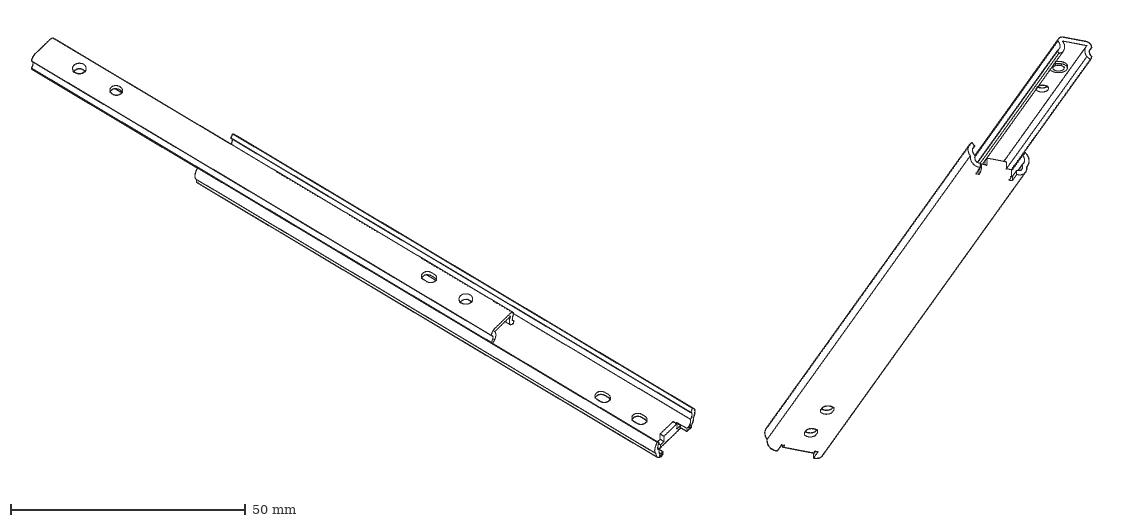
import cadquery as cq
import math

total_length = 171.8
rail_length = 124.7
sheet = 1.0
nub_length = 0.3
outer_end = total_length - nub_length
outer_start = outer_end - rail_length

race_z = 4.0
race_radius = 1.46
race_half_height = 1.12
back_radius = race_radius + sheet
race_reach = math.sqrt(race_radius**2 - race_half_height**2)

outer_half_width = 14.0 / 2
outer_race_y = outer_half_width - back_radius
floor_half_width = 8.8 / 2
bend_inner_radius = 1.0
bend_outer_radius = bend_inner_radius + sheet

inner_top = 6.4
inner_half_width = 7.7 / 2
inner_race_y = inner_half_width + race_reach
corner_radius = inner_top - race_z - race_half_height
web_half_width = inner_half_width - corner_radius
foot_bottom = 2.0
foot_slant = 0.5

relief_half_width = 4.1
nub_inner_y = 4.8
nub_outer_y = 5.3
nub_bottom = 0.5
nub_top = 1.0

stop_inset = 1.2
stop_outer_face = outer_end - stop_inset
stop_top = 3.5
stop_bend_radius = 0.5
stop_half_width = 2.2
stop_base_half_width = 3.5
stop_base_top = 1.7
stop_inner_face = stop_outer_face - sheet
stop_bend_start = stop_inner_face - stop_bend_radius

hole_offset_near = 10.0
hole_offset_far = 20.0
hole_width = 2.5
outer_slot_length = 3.5
short_slot_length = 2.7
long_slot_length = 3.5
cone_top_diameter = 3.0
cone_hole_diameter = 2.4
collar_diameter = 3.8
collar_drop = 0.5


def race_point(center_y, radius, angle):
    """Point on a race arc; the angle is in degrees from the +Y direction."""
    turn = math.radians(angle)
    return (center_y + radius * math.cos(turn), race_z + radius * math.sin(turn))


def extrude_both_halves(half_outline, start):
    """Extrude a half section (drawn at +Y) along the rail and join its mirror image."""
    half = half_outline.close().extrude(rail_length).translate((start, 0, 0))
    return half.union(half.mirror("XZ"))


def slot_cutter(x, length):
    return cq.Workplane("XY").center(x, 0).slot2D(length, hole_width).extrude(inner_top)


def outer_section():
    lip_angle = math.degrees(math.asin(race_half_height / race_radius))
    wall_y = floor_half_width + bend_outer_radius
    wall_top = race_z - math.sqrt(back_radius**2 - (wall_y - outer_race_y) ** 2)
    diagonal = math.sqrt(0.5)
    bend_in = bend_inner_radius * diagonal
    bend_out = bend_outer_radius * diagonal
    return (
        cq.Workplane("YZ")
        .moveTo(0, 0)
        .lineTo(floor_half_width, 0)
        .threePointArc(
            (floor_half_width + bend_out, bend_outer_radius - bend_out),
            (wall_y, bend_outer_radius),
        )
        .lineTo(wall_y, wall_top)
        .threePointArc((outer_half_width, race_z), race_point(outer_race_y, back_radius, lip_angle))
        .lineTo(*race_point(outer_race_y, race_radius, lip_angle))
        .threePointArc(
            (outer_race_y + race_radius, race_z),
            race_point(outer_race_y, race_radius, -lip_angle),
        )
        .lineTo(floor_half_width + bend_inner_radius, bend_outer_radius)
        .threePointArc(
            (floor_half_width + bend_in, bend_outer_radius - bend_in),
            (floor_half_width, sheet),
        )
        .lineTo(0, sheet)
    )


def inner_section():
    race_upper = race_z + race_half_height
    race_lower = race_z - race_half_height
    web_bottom = inner_top - sheet
    foot_inner_z = foot_bottom + foot_slant
    foot_tip_y = web_half_width + math.sqrt(corner_radius**2 - (race_lower - foot_bottom) ** 2)

    def back_y(z):
        return inner_race_y - math.sqrt(back_radius**2 - (z - race_z) ** 2)

    return (
        cq.Workplane("YZ")
        .moveTo(0, inner_top)
        .lineTo(web_half_width, inner_top)
        .radiusArc((inner_half_width, race_upper), corner_radius)
        .threePointArc((inner_race_y - race_radius, race_z), (inner_half_width, race_lower))
        .radiusArc((foot_tip_y, foot_bottom), corner_radius)
        .lineTo(back_y(foot_inner_z), foot_inner_z)
        .threePointArc((inner_race_y - back_radius, race_z), (back_y(web_bottom), web_bottom))
        .lineTo(0, web_bottom)
    )


def end_stop():
    """L-shaped strip with a rounded bend; its upright is narrower than its base."""
    strip = (
        cq.Workplane("XZ")
        .moveTo(stop_bend_start, 0)
        .lineTo(stop_inner_face, 0)
        .radiusArc((stop_outer_face, sheet), -sheet)
        .lineTo(stop_outer_face, stop_top)
        .lineTo(stop_inner_face, stop_top)
        .lineTo(stop_inner_face, sheet + stop_bend_radius)
        .radiusArc((stop_bend_start, sheet), stop_bend_radius)
        .close()
        .extrude(stop_base_half_width, both=True)
    )
    shoulder_width = stop_base_half_width - stop_half_width
    for side in (-1, 1):
        shoulder = cq.Workplane("XY").box(
            2 * sheet, shoulder_width, stop_top, centered=(True, True, False)
        )
        shoulder_y = side * (stop_half_width + shoulder_width / 2)
        strip = strip.cut(shoulder.translate((stop_outer_face, shoulder_y, stop_base_top)))
    return strip


def far_floor_cut():
    """Clearance across the floor, from the stop's bend to the rail end."""
    cut_length = outer_end - stop_bend_start
    block = cq.Workplane("XY").box(
        cut_length, 2 * relief_half_width, sheet, centered=(False, True, False)
    )
    return block.translate((stop_bend_start, 0, 0))


def far_nub():
    block = cq.Workplane("XY").box(
        2 * nub_length, nub_outer_y - nub_inner_y, nub_top - nub_bottom, centered=False
    )
    return block.translate((outer_end - nub_length, nub_inner_y, nub_bottom))


def make_outer_rail():
    rail = extrude_both_halves(outer_section(), outer_start)
    rail_middle = (outer_start + outer_end) / 2
    floor_cut = far_floor_cut()
    stop = end_stop()
    rail = rail.cut(floor_cut).cut(floor_cut.mirror("YZ", (rail_middle, 0, 0)))
    rail = rail.union(stop).union(stop.mirror("YZ", (rail_middle, 0, 0)))
    nub = far_nub()
    rail = rail.union(nub).union(nub.mirror("XZ"))
    for offset in (hole_offset_near, hole_offset_far):
        rail = rail.cut(slot_cutter(total_length - offset, outer_slot_length))
    return rail


def add_countersunk_hole(rail, x):
    """Add a collar under the web, with a conical hole through both."""
    depth = sheet + collar_drop
    collar = (
        cq.Workplane("XY", origin=(x, 0, inner_top - depth)).circle(collar_diameter / 2).extrude(depth)
    )
    cone = (
        cq.Workplane("XY", origin=(x, 0, inner_top))
        .circle(cone_top_diameter / 2)
        .workplane(offset=-depth)
        .circle(cone_hole_diameter / 2)
        .loft()
    )
    return rail.union(collar).cut(cone)


def make_inner_rail():
    rail = extrude_both_halves(inner_section(), 0)
    for x in (hole_offset_near, rail_length - hole_offset_near):
        rail = add_countersunk_hole(rail, x)
    rail = rail.cut(slot_cutter(hole_offset_far, short_slot_length))
    return rail.cut(slot_cutter(rail_length - hole_offset_far, long_slot_length))


outer_rail = make_outer_rail()
inner_rail = make_inner_rail()
result = cq.Compound.makeCompound([outer_rail.val(), inner_rail.val()])